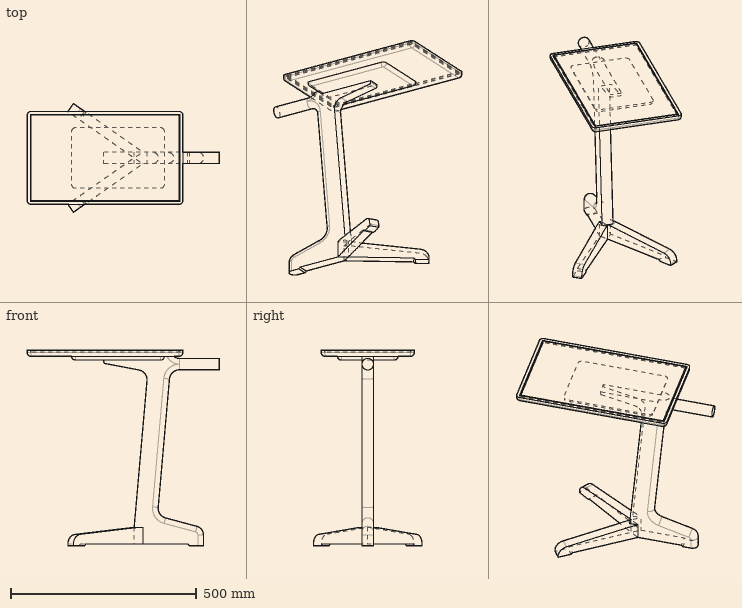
import cadquery as cq
import math

total_height = 528.5
handle_end_x = 230.5

tray_length = 420.5
tray_width = 251.5
tray_height = 17.0
tray_start_x = -288.5
slab_corner_radius = 10.5
tray_edge_radius = 10.0
rim_width = 8.5
mat_gap = 2.0
mat_thickness = 5.5
plate_length = 250.5
plate_width = 164.0
plate_height = 10.0
plate_start_x = -168.5
plate_edge_radius = 9.5
tray_bottom = total_height - tray_height
plate_bottom = tray_bottom - plate_height

half_width = 15.6
column_lean = math.tan(math.radians(5))
foot_slope = math.tan(math.radians(15))
foot_spine_x = 172.5
foot_spine_height = 36.0
foot_corner_radius = 8.5
knee_x = 47.0
knee_radius = 42.5
handle_height = 490.5
handle_top_radius = 37.0
arm_tip_x = -82.0
arm_tip_height = 492.5
arm_slope = math.tan(math.radians(10.8))
arm_tip_radius = 5.5
arm_root_radius = 26.5
foot_clearance = 4.0
rear_pad_length = 38.5

leg_angle = math.radians(35)
leg_width = 26.5
leg_reach_y = 147.0
leg_hub_height = 49.0
leg_end_height = 28.5
leg_end_radius = 26.5
leg_pad_length = 37.0

coincidence = 0.005

knee_height = foot_spine_height + foot_slope * (foot_spine_x - knee_x)
handle_root_x = knee_x + column_lean * (handle_height - knee_height)
handle_bend_turn = math.radians(85)
handle_bend_x = handle_root_x + knee_radius * math.tan(handle_bend_turn / 2)
leg_length = (leg_reach_y - leg_width * math.cos(leg_angle)) / math.sin(leg_angle)
shoulder_setback = leg_width / math.tan(leg_angle) - half_width / math.sin(leg_angle)
shoulder_x = leg_width * math.sin(leg_angle) + shoulder_setback * math.cos(leg_angle)


def trace(corners):
    """Open XZ line through (x, z, radius) corners, each inner corner rounded by a tangent arc."""
    line = cq.Workplane("XZ").moveTo(*corners[0][:2])
    for before, corner, after in zip(corners, corners[1:], corners[2:]):
        point = cq.Vector(*corner[:2])
        inward = (cq.Vector(*before[:2]) - point).normalized()
        outward = (cq.Vector(*after[:2]) - point).normalized()
        half_angle = inward.getAngle(outward) / 2
        radius = corner[2]
        if radius == 0:
            line = line.lineTo(point.x, point.y)
            end_point = point
            continue
        tangent = radius / math.tan(half_angle)
        start = point + inward * tangent
        end_point = point + outward * tangent
        bisector = (inward + outward).normalized()
        middle = point + bisector * (radius / math.sin(half_angle) - radius)
        line = line.lineTo(start.x, start.y).threePointArc((middle.x, middle.y), (end_point.x, end_point.y))
    last = cq.Vector(*corners[-1][:2])
    if (last - end_point).Length > coincidence:
        line = line.lineTo(last.x, last.y)
    return line


def rounded_slab(length, width, height, start_x, bottom, edge_radius):
    """Slab with rounded corners and a rounded lower rim."""
    slab = cq.Workplane("XY").box(length, width, height, centered=(False, True, False))
    slab = slab.edges("|Z").fillet(slab_corner_radius).faces("<Z").edges().fillet(edge_radius)
    return slab.translate((start_x, 0, bottom))


def inset_block(inset):
    """Block filling the tray pocket less the given distance from the tray's sides."""
    block = cq.Workplane("XY").box(
        tray_length - 2 * inset, tray_width - 2 * inset, mat_thickness, centered=(True, True, False)
    )
    return block.translate((tray_start_x + tray_length / 2, 0, total_height - mat_thickness))


def make_tray():
    tray = rounded_slab(
        tray_length, tray_width, tray_height, tray_start_x, tray_bottom, tray_edge_radius
    )
    return tray.cut(inset_block(rim_width))


def make_mat():
    return inset_block(rim_width + mat_gap)


def make_mounting_plate():
    return rounded_slab(
        plate_length, plate_width, plate_height, plate_start_x, plate_bottom, plate_edge_radius
    )


def column_web():
    """Flat-sided web between the front face and the centre line of the rounded back."""
    front_root_height = (
        arm_tip_height + arm_slope * (arm_tip_x + column_lean * leg_hub_height)
    ) / (1 + arm_slope * column_lean)
    front_root_x = column_lean * (front_root_height - leg_hub_height)
    arc_center_z = handle_height + handle_top_radius
    arc_end_x = handle_bend_x - math.sqrt(handle_top_radius**2 - (arc_center_z - tray_bottom)**2)
    arc_half_sweep = math.acos((arc_center_z - tray_bottom) / handle_top_radius) / 2
    arc_middle_x = handle_bend_x - handle_top_radius * math.sin(arc_half_sweep)
    arc_middle_z = arc_center_z - handle_top_radius * math.cos(arc_half_sweep)
    outline = trace([
        (arc_end_x, tray_bottom, 0),
        (arm_tip_x, tray_bottom, 0),
        (arm_tip_x, arm_tip_height, arm_tip_radius),
        (front_root_x, front_root_height, arm_root_radius),
        (0, leg_hub_height, 0),
        (0, 0, 0),
        (foot_spine_x, 0, 0),
        (foot_spine_x, foot_spine_height, foot_corner_radius),
        (knee_x, knee_height, knee_radius),
        (handle_root_x, handle_height, knee_radius),
        (handle_bend_x, handle_height, 0),
    ])
    outline = outline.threePointArc((arc_middle_x, arc_middle_z), (arc_end_x, tray_bottom)).close()
    return outline.extrude(half_width, both=True)


def rounded_back():
    """Half-round running up the rear foot, the column back and the underside of the handle."""
    spine = trace([
        (foot_spine_x, 0, 0),
        (foot_spine_x, foot_spine_height, foot_corner_radius),
        (knee_x, knee_height, knee_radius),
        (handle_root_x, handle_height, knee_radius),
        (handle_end_x, handle_height, 0),
    ])
    half_disc = (
        cq.Workplane("XY").moveTo(foot_spine_x, -half_width)
        .threePointArc((foot_spine_x + half_width, 0), (foot_spine_x, half_width)).close()
    )
    return half_disc.sweep(spine)


def handle_top():
    """Half-round running along the top of the handle and curving up to the tray."""
    spine = (
        cq.Workplane("XZ").moveTo(handle_end_x, handle_height).lineTo(handle_bend_x, handle_height)
        .radiusArc((handle_bend_x - handle_top_radius, handle_height + handle_top_radius),
                   handle_top_radius)
    )
    half_disc = (
        cq.Workplane("YZ", origin=(handle_end_x, 0, handle_height)).moveTo(-half_width, 0)
        .threePointArc((0, half_width), (half_width, 0)).close()
    )
    above_tray_bottom = cq.Workplane("XY").box(
        handle_end_x, 4 * half_width, total_height, centered=(False, True, False)
    ).translate((0, 0, tray_bottom))
    return half_disc.sweep(spine).cut(above_tray_bottom)


def base_recess():
    """Shallow recess under the column, ending in a 45 degree step at the rear foot pad."""
    pad_start_x = foot_spine_x + half_width - rear_pad_length
    return (
        cq.Workplane("XZ")
        .polyline([(0, 0), (pad_start_x, 0), (pad_start_x - foot_clearance, foot_clearance),
                   (0, foot_clearance)])
        .close().extrude(half_width, both=True)
    )


def leg_notches():
    """Corner cuts that leave the column base as a wedge between the two legs."""
    notches = cq.Workplane("XY")
    for side in (-1, 1):
        notches = notches.add(
            cq.Workplane("XY")
            .polyline([(0, 0), (shoulder_x, side * half_width), (0, side * half_width)])
            .close().extrude(leg_hub_height)
        )
    return notches.combine()


def make_column():
    column = column_web().union(rounded_back()).union(handle_top())
    return column.cut(base_recess()).cut(leg_notches()).cut(make_mounting_plate())


def make_leg(side):
    """Front leg on the given side (+1 or -1 along Y), butted against the column's wedge."""
    inner_end = (-leg_length * math.cos(leg_angle), leg_length * math.sin(leg_angle))
    outer_end = (inner_end[0] + leg_width * math.sin(leg_angle), leg_reach_y)
    plan_corners = [(0, 0), (shoulder_x, half_width), outer_end, inner_end]
    plan = (
        cq.Workplane("XY")
        .polyline([(x, side * y) for x, y in plan_corners])
        .close().extrude(leg_hub_height)
    )
    level_length = half_width * math.sin(leg_angle)
    pad_start = leg_length - leg_pad_length
    elevation = trace([
        (-leg_width, foot_clearance, 0),
        (-leg_width, leg_hub_height, 0),
        (level_length, leg_hub_height, 0),
        (leg_length, leg_end_height, leg_end_radius),
        (leg_length, 0, 0),
        (pad_start, 0, 0),
        (pad_start - foot_clearance, foot_clearance, 0),
    ]).close().extrude(2 * leg_width, both=True)
    heading = 180 - side * math.degrees(leg_angle)
    return plan.intersect(elevation.rotate((0, 0, 0), (0, 0, 1), heading))


tray = make_tray()
mat = make_mat()
mounting_plate = make_mounting_plate()
column = make_column()
legs = [make_leg(side) for side in (-1, 1)]

result = cq.Compound.makeCompound([
    tray.val(),
    mat.val(),
    mounting_plate.val(),
    column.val(),
    *[leg.val() for leg in legs],
])